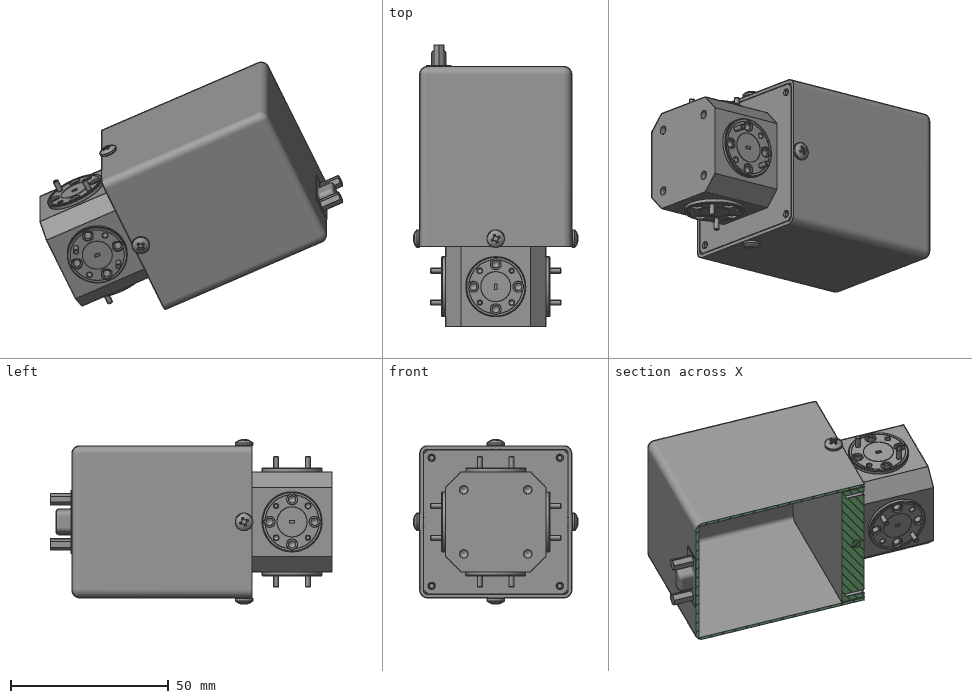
import cadquery as cq
import math


COVER_SIZE = 48.26
COVER_LENGTH = 57.15
COVER_EDGE_RADIUS = 2.54
WALL = 1.14

PLATE_GAP = 0.14
PLATE_THICKNESS = 7.62
PLATE_CORNER_CUT = 1.27
PLATE_HOLE_SPACING = 40.64
PLATE_HOLE_DIAMETER = 1.54
PLATE_HOLE_CHAMFER = 0.36
PLATE_HOLE_DEPTH = 6.35
BLOCK_SIZE = 31.75
BLOCK_LENGTH = 25.4
BLOCK_CORNER_CUT = 4.9
BLOCK_HOLE_SPACING = 20.32
BLOCK_HOLE_DIAMETER = 2.64
BLOCK_HOLE_DEPTH = 6.35

FLANGE_DIAMETER = 19.05
FLANGE_HEIGHT = 1.27
FLANGE_CHAMFER = 0.25
FLANGE_STEP_DIAMETER = 17.15
FLANGE_BOSS_DIAMETER = 9.53
FLANGE_STEP_DEPTH = 0.08
FLANGE_BOLT_CIRCLE = 14.29
FLANGE_BOLT_DIAMETER = 2.3
FLANGE_COUNTERBORE_DIAMETER = 3.45
FLANGE_COUNTERBORE_DEPTH = 0.8
FLANGE_BOLT_DEPTH = 6.35
DOWEL_HOLE_DIAMETER = 1.6
DOWEL_HOLE_DEPTH = 5.0
DOWEL_HOLE_CHAMFER = 0.2
DOWEL_DIAMETER = 1.6
DOWEL_HEIGHT = 3.56
DOWEL_CHAMFER = 0.2
GUIDE_WIDTH = 0.83
GUIDE_LENGTH = 1.65
GUIDE_DEPTH = 0.2
DRILL_POINT_ANGLE = 118

SCREW_SETBACK = 2.54
SCREW_HEAD_DIAMETER = 5.56
SCREW_HEAD_HEIGHT = 2.02
SCREW_HEAD_RIM = 0.9
SCREW_HEAD_CHAMFER = 0.25
SCREW_THREAD_DIAMETER = 2.84
SCREW_LENGTH = 6.35
RECESS_SPAN = 3.3
RECESS_FLOOR_SPAN = 1.2
RECESS_WING_WIDTH = 0.64
RECESS_CORE_SIZE = 1.44
RECESS_DEPTH = 1.1
RECESS_TURN = 22

CONNECTOR_X = -18.05
CONNECTOR_PLATE_WIDTH = 7.82
CONNECTOR_PLATE_LENGTH = 19.94
CONNECTOR_PLATE_THICKNESS = 0.27
JACK_SPACING = 14.35
JACK_ACROSS_FLATS = 3.175
JACK_SIDES = 6
CONNECTOR_HEIGHT = 6.82
SHELL_WIDTH = 4.6
SHELL_LONG_SIDE = 10.0
SHELL_SHORT_SIDE = 5.75
SHELL_HEIGHT = 4.75
SHELL_CORNER_RADIUS = 1.6
SHELL_TIP_RADIUS = 1.0
SHELL_ROOT_RADIUS = 0.35

COVER_HALF = COVER_SIZE / 2
BLOCK_HALF = BLOCK_SIZE / 2
FLANGE_Y = -BLOCK_LENGTH / 2
SIDE_ANGLES = [0, 90, 180, 270]

DOWEL_ANGLES = [45, 225]
DOWEL_HOLE_ANGLES = [135, 315]


def drilled(diameter, depth):
    """Drill-shaped cutter with its mouth at Z = 0, pointing down."""
    radius = diameter / 2
    point = radius / math.tan(math.radians(DRILL_POINT_ANGLE / 2))
    outline = [(0, 0), (radius, 0), (radius, -depth), (0, -depth - point)]
    return cq.Workplane("XZ").polyline(outline).close().revolve(360, (0, 0), (0, 1))


def mouth_chamfer(diameter, chamfer):
    """Cutter for the 45 degree chamfer around the mouth of a hole at Z = 0."""
    radius = diameter / 2
    return cq.Workplane("XY").circle(radius + chamfer).extrude(-chamfer, taper=45)


def square_bar(size, y_front, y_back):
    """Square bar along Y, centred on the Y axis."""
    length = y_back - y_front
    return cq.Workplane("XY").box(size, length, size).translate((0, y_front + length / 2, 0))


def place_on_side(shape, height, y, angle):
    """Move a feature made around Z = 0 onto one of the four sides around the Y axis."""
    return shape.translate((0, y, height)).rotate((0, 0, 0), (0, 1, 0), angle)


def square_corners(spacing):
    """The four X, Z corner points of a square centred on the Y axis."""
    half = spacing / 2
    return [(x, z) for x in (-half, half) for z in (-half, half)]


def make_screw():
    """Pan-head cross-recess screw along Z, head seated at Z = 0."""
    head_radius = SCREW_HEAD_DIAMETER / 2
    seat_radius = head_radius - SCREW_HEAD_CHAMFER
    thread_radius = SCREW_THREAD_DIAMETER / 2
    dome_rise = SCREW_HEAD_HEIGHT - SCREW_HEAD_RIM
    dome_radius = (head_radius**2 + dome_rise**2) / (2 * dome_rise)
    screw = (
        cq.Workplane("XZ")
        .moveTo(0, -SCREW_LENGTH)
        .lineTo(thread_radius, -SCREW_LENGTH)
        .lineTo(thread_radius, 0)
        .lineTo(seat_radius, 0)
        .lineTo(head_radius, SCREW_HEAD_CHAMFER)
        .lineTo(head_radius, SCREW_HEAD_RIM)
        .radiusArc((0, SCREW_HEAD_HEIGHT), -dome_radius)
        .close()
        .revolve(360, (0, 0), (0, 1))
    )
    return screw.cut(make_cross_recess())


def make_cross_recess():
    """Cutter for the cross recess: two tapered wings and a square core."""
    floor = SCREW_HEAD_HEIGHT - RECESS_DEPTH
    half_span = RECESS_SPAN / 2
    half_floor = RECESS_FLOOR_SPAN / 2
    wing = (
        cq.Workplane("XZ")
        .polyline([
            (-half_span, SCREW_HEAD_HEIGHT),
            (half_span, SCREW_HEAD_HEIGHT),
            (half_floor, floor),
            (-half_floor, floor),
        ])
        .close()
        .extrude(RECESS_WING_WIDTH / 2, both=True)
    )
    core = (
        cq.Workplane("XY")
        .workplane(offset=floor)
        .rect(RECESS_CORE_SIZE, RECESS_CORE_SIZE)
        .extrude(RECESS_DEPTH)
        .rotate((0, 0, 0), (0, 0, 1), 45)
    )
    recess = core.union(wing).union(wing.rotate((0, 0, 0), (0, 0, 1), 90))
    return recess.rotate((0, 0, 0), (0, 0, 1), RECESS_TURN)


def cut_screw_holes(body):
    """Cut the four side holes that take the screw threads."""
    hole = cq.Workplane("XY").circle(SCREW_THREAD_DIAMETER / 2).extrude(-SCREW_LENGTH)
    for angle in SIDE_ANGLES:
        body = body.cut(place_on_side(hole, COVER_HALF, SCREW_SETBACK, angle))
    return body


def make_connector():
    """Flange plate with a D-shaped shell whose narrow side faces -X."""
    plate = (
        cq.Workplane("XZ")
        .rect(CONNECTOR_PLATE_WIDTH, CONNECTOR_PLATE_LENGTH)
        .extrude(-CONNECTOR_PLATE_THICKNESS)
    )
    half_width = SHELL_WIDTH / 2
    shell = (
        cq.Workplane("XZ")
        .polyline([
            (half_width, -SHELL_LONG_SIDE / 2),
            (half_width, SHELL_LONG_SIDE / 2),
            (-half_width, SHELL_SHORT_SIDE / 2),
            (-half_width, -SHELL_SHORT_SIDE / 2),
        ])
        .close()
        .extrude(-CONNECTOR_PLATE_THICKNESS - SHELL_HEIGHT)
        .edges("|Y").fillet(SHELL_CORNER_RADIUS)
        .faces(">Y").edges().fillet(SHELL_TIP_RADIUS)
    )
    connector = plate.union(shell)
    plate_corner = (CONNECTOR_PLATE_WIDTH / 2, CONNECTOR_PLATE_THICKNESS, CONNECTOR_PLATE_LENGTH / 2)
    plate_face = connector.faces("+Y").faces(cq.selectors.NearestToPointSelector(plate_corner)).val()
    shell_root = plate_face.innerWires()[0].Edges()
    connector = cq.Workplane(connector.val().Solids()[0].fillet(SHELL_ROOT_RADIUS, shell_root))
    return connector.translate((CONNECTOR_X, COVER_LENGTH, 0))


def make_jack_post(z):
    """Hexagonal post standing on the connector plate, with corners facing +Z and -Z."""
    half_side_angle = 180 / JACK_SIDES
    across_corners = JACK_ACROSS_FLATS / math.cos(math.radians(half_side_angle))
    post = (
        cq.Workplane("XZ")
        .polygon(JACK_SIDES, across_corners)
        .extrude(CONNECTOR_PLATE_THICKNESS - CONNECTOR_HEIGHT)
        .rotate((0, 0, 0), (0, 1, 0), half_side_angle)
    )
    return post.translate((CONNECTOR_X, COVER_LENGTH + CONNECTOR_PLATE_THICKNESS, z))


def make_cover():
    """Can with rounded edges, open at Y = 0."""
    outside = square_bar(COVER_SIZE, 0, COVER_LENGTH).edges("|Y").fillet(COVER_EDGE_RADIUS)
    outside = outside.faces(">Y").edges().fillet(COVER_EDGE_RADIUS)
    inside = square_bar(COVER_SIZE - 2 * WALL, 0, COVER_LENGTH - WALL)
    inside = inside.edges("|Y").fillet(COVER_EDGE_RADIUS - WALL)
    return cut_screw_holes(outside.cut(inside))


def make_flange():
    """Flange disc with its dowels, standing on Z = 0."""
    disc = cq.Workplane("XY").circle(FLANGE_DIAMETER / 2).extrude(FLANGE_HEIGHT)
    disc = disc.faces(">Z").edges().chamfer(FLANGE_CHAMFER)
    step = (
        cq.Workplane("XY")
        .workplane(offset=FLANGE_HEIGHT - FLANGE_STEP_DEPTH)
        .circle(FLANGE_STEP_DIAMETER / 2)
        .circle(FLANGE_BOSS_DIAMETER / 2)
        .extrude(FLANGE_STEP_DEPTH)
    )
    dowel = (
        cq.Workplane("XY")
        .center(FLANGE_BOLT_CIRCLE / 2, 0)
        .circle(DOWEL_DIAMETER / 2)
        .extrude(FLANGE_HEIGHT + DOWEL_HEIGHT)
        .faces(">Z").edges().chamfer(DOWEL_CHAMFER)
    )
    flange = disc.cut(step)
    for angle in DOWEL_ANGLES:
        flange = flange.union(dowel.rotate((0, 0, 0), (0, 0, 1), angle))
    return flange


def make_flange_holes():
    """Cutters for one flange that stands on Z = 0."""
    radius = FLANGE_BOLT_CIRCLE / 2
    guide = (
        cq.Workplane("XY")
        .workplane(offset=FLANGE_HEIGHT)
        .rect(GUIDE_WIDTH, GUIDE_LENGTH)
        .extrude(-GUIDE_DEPTH)
    )
    counterbore = (
        cq.Workplane("XY").circle(FLANGE_COUNTERBORE_DIAMETER / 2).extrude(-FLANGE_COUNTERBORE_DEPTH)
    )
    bolt = drilled(FLANGE_BOLT_DIAMETER, FLANGE_BOLT_DEPTH).union(counterbore)
    dowel_hole = drilled(DOWEL_HOLE_DIAMETER, DOWEL_HOLE_DEPTH).union(
        mouth_chamfer(DOWEL_HOLE_DIAMETER, DOWEL_HOLE_CHAMFER)
    )
    cutters = [guide]
    for hole, angles in ((bolt, SIDE_ANGLES), (dowel_hole, DOWEL_HOLE_ANGLES)):
        for angle in angles:
            cutters.append(hole.translate((radius, 0, FLANGE_HEIGHT)).rotate((0, 0, 0), (0, 0, 1), angle))
    return cutters


def make_block():
    """Base plate, eight-sided waveguide block and its four flanges in one piece."""
    plate_size = COVER_SIZE - 2 * WALL - 2 * PLATE_GAP
    plate = square_bar(plate_size, 0, PLATE_THICKNESS).edges("|Y").chamfer(PLATE_CORNER_CUT)
    body = square_bar(BLOCK_SIZE, -BLOCK_LENGTH, 0).edges("|Y").chamfer(BLOCK_CORNER_CUT)
    body = body.union(plate)

    flange = make_flange()
    flange_holes = make_flange_holes()
    for angle in SIDE_ANGLES:
        body = body.union(place_on_side(flange, BLOCK_HALF, FLANGE_Y, angle))
        for hole in flange_holes:
            body = body.cut(place_on_side(hole, BLOCK_HALF, FLANGE_Y, angle))

    block_hole = drilled(BLOCK_HOLE_DIAMETER, BLOCK_HOLE_DEPTH).rotate((0, 0, 0), (1, 0, 0), 90)
    for x, z in square_corners(BLOCK_HOLE_SPACING):
        body = body.cut(block_hole.translate((x, -BLOCK_LENGTH, z)))

    plate_hole = (
        cq.Workplane("XY")
        .circle(PLATE_HOLE_DIAMETER / 2)
        .extrude(-PLATE_HOLE_DEPTH)
        .union(mouth_chamfer(PLATE_HOLE_DIAMETER, PLATE_HOLE_CHAMFER))
    )
    plate_hole = plate_hole.rotate((0, 0, 0), (1, 0, 0), 90)
    for x, z in square_corners(PLATE_HOLE_SPACING):
        body = body.cut(plate_hole.translate((x, 0, z)))
    return cut_screw_holes(body)


cover = make_cover()
block = make_block()
connector = make_connector()
jack_posts = [make_jack_post(z) for z in (-JACK_SPACING / 2, JACK_SPACING / 2)]
screws = [place_on_side(make_screw(), COVER_HALF, SCREW_SETBACK, angle) for angle in SIDE_ANGLES]

result = cq.Compound.makeCompound([
    cover.val(),
    block.val(),
    connector.val(),
    *[post.val() for post in jack_posts],
    *[screw.val() for screw in screws],
])